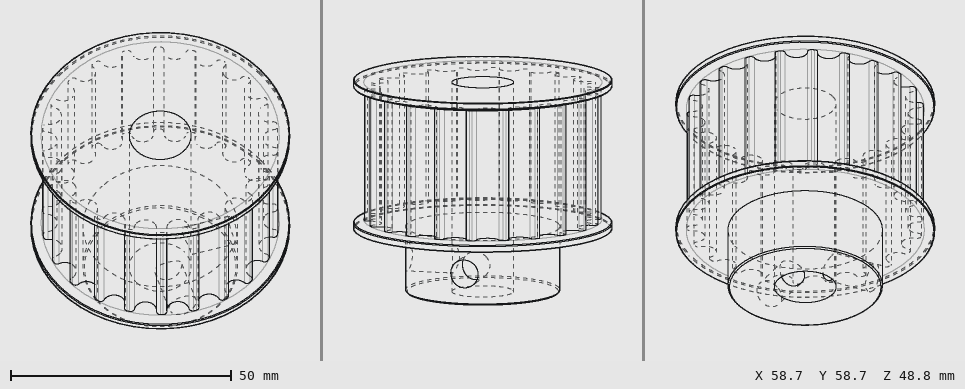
import cadquery as cq
import math

TOOTH_COUNT = 22
BODY_RADIUS = 26.8
TOOTHED_WIDTH = 30.0
GROOVE_RADIUS = 2.55
GROOVE_CENTRE_RADIUS = 25.9
TOOTH_TIP_RADIUS = 0.85

FLANGE_RADIUS = 29.335
FLANGE_FLAT_RADIUS = 27.0
FLANGE_THICKNESS = 1.6
RIM_ANGLE = 15.0
RIM_CHAMFER = 0.2

OVERALL_HEIGHT = 48.76
HUB_RADIUS = 17.5
HUB_CHAMFER = 0.35
BORE_RADIUS = 7.0
SET_SCREW_RADIUS = 3.2

RIM_RISE = (FLANGE_RADIUS - FLANGE_FLAT_RADIUS) * math.tan(math.radians(RIM_ANGLE))
RIM_PEAK_LOSS = RIM_CHAMFER * math.sin(math.radians(RIM_ANGLE))
RIM_TO_RIM = TOOTHED_WIDTH + 2 * (FLANGE_THICKNESS + RIM_RISE)
HUB_LENGTH = OVERALL_HEIGHT + RIM_PEAK_LOSS - RIM_TO_RIM

TEETH_BOTTOM = HUB_LENGTH + RIM_RISE + FLANGE_THICKNESS
TEETH_TOP = TEETH_BOTTOM + TOOTHED_WIDTH
SET_SCREW_HEIGHT = HUB_LENGTH / 2


def toothed_body():
    """Cylinder with round grooves whose edges are rounded into the tooth tips."""
    grooves = (
        cq.Workplane("XY")
        .polarArray(GROOVE_CENTRE_RADIUS, 0, 360, TOOTH_COUNT)
        .circle(GROOVE_RADIUS)
        .extrude(TOOTHED_WIDTH)
    )
    body = cq.Workplane("XY").circle(BODY_RADIUS).extrude(TOOTHED_WIDTH).cut(grooves)
    half_pitch = 180 / TOOTH_COUNT
    return body.edges("|Z").fillet(TOOTH_TIP_RADIUS).rotate((0, 0, 0), (0, 0, 1), half_pitch)


def flange():
    """Dished disc resting on the plane z = 0, with its rim bent upwards."""
    rim_top = FLANGE_THICKNESS + RIM_RISE
    disc = (
        cq.Workplane("XZ")
        .lineTo(FLANGE_FLAT_RADIUS, 0)
        .lineTo(FLANGE_RADIUS, RIM_RISE)
        .lineTo(FLANGE_RADIUS, rim_top)
        .lineTo(FLANGE_FLAT_RADIUS, FLANGE_THICKNESS)
        .lineTo(0, FLANGE_THICKNESS)
        .close()
        .revolve(360, (0, 0, 0), (0, 1, 0))
    )
    rim_edges = cq.selectors.RadiusNthSelector(-1)
    return disc.edges("%CIRCLE").edges(rim_edges).chamfer(RIM_CHAMFER)


def hub():
    """Cylinder reaching from the lower flange disc to the bottom face."""
    length = HUB_LENGTH + RIM_RISE
    return cq.Workplane("XY").circle(HUB_RADIUS).extrude(length).faces("<Z").chamfer(HUB_CHAMFER)


def set_screw_hole(plane, direction):
    """Radial pin from the axis out through the hub wall, to be cut from the hub."""
    return (
        cq.Workplane(plane)
        .center(0, SET_SCREW_HEIGHT)
        .circle(SET_SCREW_RADIUS)
        .extrude(direction * HUB_RADIUS)
    )


upper_flange = flange().translate((0, 0, TEETH_TOP))
lower_flange = flange().mirror("XY").translate((0, 0, TEETH_BOTTOM))
bore = cq.Workplane("XY").circle(BORE_RADIUS).extrude(OVERALL_HEIGHT)

result = (
    toothed_body()
    .translate((0, 0, TEETH_BOTTOM))
    .union(upper_flange)
    .union(lower_flange)
    .union(hub())
    .cut(bore)
    .cut(set_screw_hole("YZ", 1))
    .cut(set_screw_hole("XZ", -1))
)